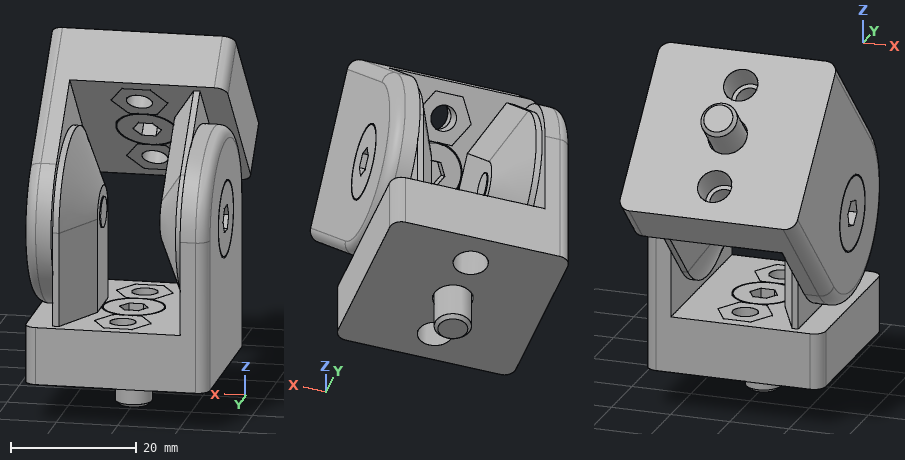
import cadquery as cq
import math

TILT = 45.0

WIDTH = 30.0
PIVOT_HEIGHT = 25.0
PLATE_THICKNESS = 9.5
EDGE_RADIUS = 2.0
OUTER_ARM_THICKNESS = 4.5
HALF_WIDTH = WIDTH / 2
ARM_CONTACT_X = HALF_WIDTH - OUTER_ARM_THICKNESS
PLATE_BOTTOM = -PIVOT_HEIGHT
PLATE_TOP = PLATE_BOTTOM + PLATE_THICKNESS

INNER_ARM_RADIUS = 13.6
INNER_FACE_RADIUS = 4.35
INNER_RIM_THICKNESS = 1.0
INNER_FACE_X = 5.1

SCREW_RADIUS = 3.0
SCREW_HOLE_RADIUS = 3.2
SCREW_PROTRUSION = 6.5
SCREW_TIP_CHAMFER = 0.6
SCREW_HEAD_RADIUS = 4.9
COUNTERBORE_RADIUS = 5.1
SCREW_HEAD_HEIGHT = 4.0

NUT_OFFSET = 9.0
NUT_ACROSS_FLATS = 8.0
NUT_HEIGHT = 4.0
NUT_BORE_RADIUS = 2.1
NUT_HOLE_RADIUS = 2.8

PIVOT_HEAD_RADIUS = 6.1
PIVOT_RECESS_RADIUS = 6.3
PIVOT_HEAD_HEIGHT = 3.0
PIVOT_SHANK_RADIUS = 2.5
PIVOT_END_X = 4.9

SOCKET_ACROSS_FLATS = 4.0
SOCKET_DEPTH = 2.5


def cylinder_z(radius, bottom, top, y=0.0):
    """Upright cylinder between two heights."""
    return cq.Workplane("XY", origin=(0, y, bottom)).circle(radius).extrude(top - bottom)


def cylinder_x(radius, start, end):
    """Cylinder on the pivot axis between two X positions."""
    return cq.Workplane("YZ", origin=(start, 0, 0)).circle(radius).extrude(end - start)


def hexagon(workplane, across_flats, length):
    """Hexagonal prism on the given plane, with two corners on its local X axis."""
    corner_diameter = across_flats / math.cos(math.pi / 6)
    return workplane.polygon(6, corner_diameter).extrude(length)


def make_outer_arm():
    """Full-height arched arm, rounded along the edge of its outer face."""
    return (
        cq.Workplane("YZ", origin=(-HALF_WIDTH, 0, 0))
        .moveTo(-HALF_WIDTH, PLATE_BOTTOM)
        .lineTo(-HALF_WIDTH, 0)
        .threePointArc((0, HALF_WIDTH), (HALF_WIDTH, 0))
        .lineTo(HALF_WIDTH, PLATE_BOTTOM)
        .close()
        .extrude(OUTER_ARM_THICKNESS)
        .faces("<X").edges("not <Z").fillet(EDGE_RADIUS)
    )


def make_plate():
    """Square plate with rounded corners."""
    return (
        cq.Workplane("XY", origin=(0, 0, PLATE_BOTTOM))
        .rect(WIDTH, WIDTH)
        .extrude(PLATE_THICKNESS)
        .edges("|Z").fillet(EDGE_RADIUS)
    )


def make_inner_arm():
    """Arm with sloping flanks, ending in a cone round the pivot axis."""
    slope_start_x = ARM_CONTACT_X - INNER_RIM_THICKNESS
    half_section = [
        (ARM_CONTACT_X, 0),
        (ARM_CONTACT_X, INNER_ARM_RADIUS),
        (slope_start_x, INNER_ARM_RADIUS),
        (INNER_FACE_X, INNER_FACE_RADIUS),
        (INNER_FACE_X, 0),
    ]
    rounded_end = cq.Workplane("XY").polyline(half_section).close().revolve(360, (0, 0), (1, 0))
    half_leg = cq.Workplane("XY").polyline(half_section).close().extrude(PLATE_TOP)
    return rounded_end.union(half_leg).union(half_leg.mirror("XZ"))


def make_nut_blank(y):
    """Solid hexagon of a nut, flush with the inner face of the plate."""
    base = cq.Workplane("XY", origin=(0, y, PLATE_TOP - NUT_HEIGHT))
    return hexagon(base, NUT_ACROSS_FLATS, NUT_HEIGHT)


def make_housing():
    """Plate with an outer arm at -X and an inner arm at +X, cut for its screws and nuts."""
    housing = make_plate().union(make_outer_arm()).union(make_inner_arm())

    housing = housing.cut(cylinder_z(SCREW_HOLE_RADIUS, PLATE_BOTTOM, PLATE_TOP))
    housing = housing.cut(cylinder_z(COUNTERBORE_RADIUS, PLATE_TOP - SCREW_HEAD_HEIGHT, PLATE_TOP))

    for side in (-1, 1):
        nut_y = side * NUT_OFFSET
        housing = housing.cut(cylinder_z(NUT_HOLE_RADIUS, PLATE_BOTTOM, PLATE_TOP, nut_y))
        housing = housing.cut(make_nut_blank(nut_y))

    head_seat_x = -HALF_WIDTH + PIVOT_HEAD_HEIGHT
    housing = housing.cut(cylinder_x(PIVOT_RECESS_RADIUS, -HALF_WIDTH, head_seat_x))
    housing = housing.cut(cylinder_x(PIVOT_SHANK_RADIUS, -HALF_WIDTH, HALF_WIDTH))
    return housing


def make_nut(y):
    """Hexagon nut."""
    return make_nut_blank(y).cut(cylinder_z(NUT_BORE_RADIUS, PLATE_BOTTOM, PLATE_TOP, y))


def make_mounting_screw():
    """Socket head screw that sticks out of the plate."""
    tip_z = PLATE_BOTTOM - SCREW_PROTRUSION
    shank = cylinder_z(SCREW_RADIUS, tip_z, PLATE_TOP).faces("<Z").chamfer(SCREW_TIP_CHAMFER)
    head = cylinder_z(SCREW_HEAD_RADIUS, PLATE_TOP - SCREW_HEAD_HEIGHT, PLATE_TOP)
    socket_plane = cq.Workplane("XY", origin=(0, 0, PLATE_TOP))
    socket = hexagon(socket_plane, SOCKET_ACROSS_FLATS, -SOCKET_DEPTH)
    return shank.union(head).cut(socket)


def make_pivot_screw():
    """Socket head screw through the outer arm and the other half's inner arm."""
    head = cylinder_x(PIVOT_HEAD_RADIUS, -HALF_WIDTH, -HALF_WIDTH + PIVOT_HEAD_HEIGHT)
    shank = cylinder_x(PIVOT_SHANK_RADIUS, -HALF_WIDTH, -PIVOT_END_X)
    socket = hexagon(cq.Workplane("YZ", origin=(-HALF_WIDTH, 0, 0)), SOCKET_ACROSS_FLATS, SOCKET_DEPTH)
    return head.union(shank).cut(socket)


def to_upper_half(body):
    """Turn a lower body over about Y, which swaps the arm sides, and tilt it about the pivot axis."""
    turned = body.rotate((0, 0, 0), (0, 1, 0), 180)
    return turned.rotate((0, 0, 0), (1, 0, 0), TILT)


lower_housing = make_housing()
lower_nuts = [make_nut(side * NUT_OFFSET) for side in (-1, 1)]
lower_mounting_screw = make_mounting_screw()
lower_pivot_screw = make_pivot_screw()

lower_half = [lower_housing, *lower_nuts, lower_mounting_screw, lower_pivot_screw]
upper_half = [to_upper_half(body) for body in lower_half]

result = cq.Compound.makeCompound([body.val() for body in lower_half + upper_half])